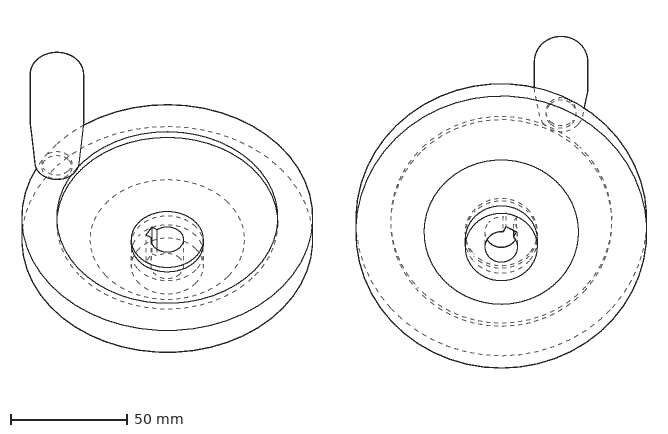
import cadquery as cq

rim_radius = 62.5
rim_bottom = 18.0
rim_top = 33.0

hub_radius = 15.5
hub_base_height = 9.0
hub_top = rim_bottom

web_outer_radius = 33.2
dish_radius = 47.5
dish_wall_depth = 3.9
hub_face_step = 3.0

bore_radius = 7.0
key_width = 5.0
key_reach = 9.2

handle_offset = 55.0
grip_radius = 11.55
grip_foot_radius = 9.5
foot_fillet = 1.0
stem_radius = 6.5
stem_length = 2.7
taper_top = 63.9
shoulder_start = 96.1
dome_edge_radius = 9.3
dome_edge_height = 99.1
overall_height = 100.5


def make_wheel():
    """Revolve the rim, conical web and hub as one profile."""
    return (
        cq.Workplane("XZ")
        .moveTo(0, 0)
        .lineTo(hub_radius, 0)
        .lineTo(hub_radius, hub_base_height)
        .lineTo(web_outer_radius, rim_bottom)
        .lineTo(rim_radius, rim_bottom)
        .lineTo(rim_radius, rim_top)
        .lineTo(dish_radius, rim_top)
        .lineTo(dish_radius, rim_top - dish_wall_depth)
        .lineTo(hub_radius, hub_top - hub_face_step)
        .lineTo(hub_radius, hub_top)
        .lineTo(0, hub_top)
        .close()
        .revolve(360, (0, 0, 0), (0, 1, 0))
    )


def make_keyed_bore():
    """Through bore with a square-ended keyway on the handle side."""
    bore = cq.Workplane("XY").circle(bore_radius).extrude(hub_top)
    keyway = (
        cq.Workplane("XY")
        .center(-key_reach / 2, 0)
        .rect(key_reach, key_width)
        .extrude(hub_top)
    )
    return bore.union(keyway)


def make_handle():
    """Revolve the stem, tapered grip, rounded shoulder and domed end."""
    grip_bottom = rim_top + stem_length
    dome_rise = overall_height - dome_edge_height
    dome_radius = (dome_edge_radius**2 + dome_rise**2) / (2 * dome_rise)
    dome_center = overall_height - dome_radius
    dome_mid_radius = dome_edge_radius / 2
    dome_mid_height = dome_center + (dome_radius**2 - dome_mid_radius**2) ** 0.5
    profile = (
        cq.Workplane("XZ")
        .moveTo(0, rim_top)
        .lineTo(stem_radius, rim_top)
        .lineTo(stem_radius, grip_bottom)
        .lineTo(grip_foot_radius - foot_fillet, grip_bottom)
        .tangentArcPoint((grip_foot_radius, grip_bottom + foot_fillet), relative=False)
        .lineTo(grip_radius, taper_top)
        .lineTo(grip_radius, shoulder_start)
        .tangentArcPoint((dome_edge_radius, dome_edge_height), relative=False)
        .threePointArc((dome_mid_radius, dome_mid_height), (0, overall_height))
        .close()
    )
    handle = profile.revolve(360, (0, 0, 0), (0, 1, 0))
    return handle.translate((-handle_offset, 0, 0))


result = make_wheel().cut(make_keyed_bore()).union(make_handle())